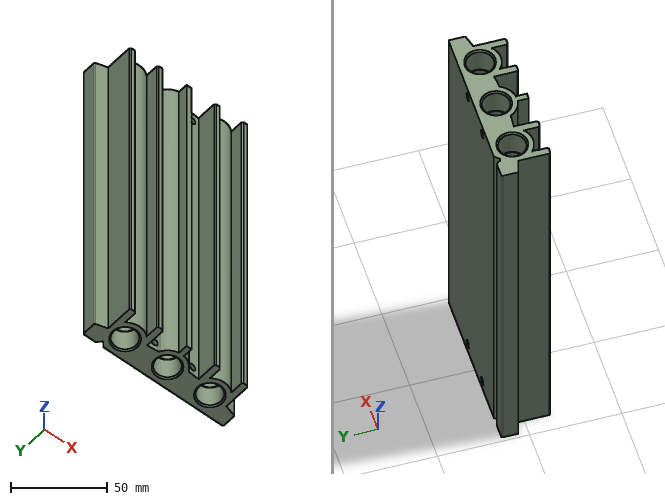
import cadquery as cq

length = 213.0
width = 95.6
depth = 29.0
back = depth / 2
half_width = width / 2
bottom = -length / 2

flange_edge_depth = 9.2
flange_root_depth = 11.3
corner_round = 0.6

bore_pitch = 29.0
bore_depth = 11.5
bore_diameter = 14.0
port_diameter = 15.0
port_length = 15.0
mouth_diameter = 16.6
mouth_chamfer = (mouth_diameter - port_diameter) / 2
wall_radius = 11.3

fin_width = 4.0
fin_offset = 9.4
fin_chamfer = 0.9
middle_fin_width = 3.5
middle_fin_depth = 28.8

web_fin_depth = 15.8
web_wall_depth = 16.5
web_wall_x = 10.0
web_fillet = 0.9

groove_x = -36.6
groove_width = 5.1
groove_floor_width = 0.9
groove_depth = 2.5

hole_diameter = 4.5
hole_x = 13.0
hole_end_distance = 6.0

bore_y = back - bore_depth
bore_positions = [(x, bore_y) for x in (-bore_pitch, 0, bore_pitch)]
fin_outer_x = bore_pitch + fin_offset + fin_width / 2
fin_inner_x = bore_pitch - fin_offset - fin_width / 2


def mirrored_profile(right_half):
    """Extrude an outline given by its right half, mirrored about the YZ plane."""
    left_half = [(-x, y) for x, y in reversed(right_half)]
    return cq.Workplane("XY").workplane(offset=bottom).polyline(right_half + left_half).close().extrude(length)


def make_plate():
    """Back plate with rounded flanges and sloped web floors."""
    plate = mirrored_profile([
        (web_wall_x, back - web_wall_depth),
        (fin_inner_x, back - web_fin_depth),
        (fin_outer_x, back - web_fin_depth),
        (fin_outer_x, back - flange_root_depth),
        (half_width, back - flange_edge_depth),
        (half_width, back),
    ])
    return plate.edges("|Z").edges("<X or >X").fillet(corner_round)


def make_fin(x, thickness, tip_depth):
    """Full-length fin from the bore axis plane out to the tip depth."""
    fin_height = tip_depth - bore_depth
    center = (x, bore_y - fin_height / 2, 0)
    return cq.Workplane("XY").box(thickness, fin_height, length).translate(center)


def make_bore(x, y):
    """Through bore with a wider port and a conical mouth at each end."""
    half_outline = [
        (0, 0),
        (bore_diameter / 2, 0),
        (bore_diameter / 2, length / 2 - port_length),
        (port_diameter / 2, length / 2 - port_length),
        (port_diameter / 2, length / 2 - mouth_chamfer),
        (mouth_diameter / 2, length / 2),
        (0, length / 2),
    ]
    half_bore = cq.Workplane("XZ").polyline(half_outline).close().revolve(360, (0, 0), (0, 1))
    return half_bore.union(half_bore.mirror("XY")).translate((x, y, 0))


def make_groove():
    """V groove running along the back face."""
    return (
        cq.Workplane("XY")
        .workplane(offset=bottom)
        .moveTo(groove_x - groove_width / 2, back)
        .lineTo(groove_x + groove_width / 2, back)
        .lineTo(groove_x + groove_floor_width / 2, back - groove_depth)
        .lineTo(groove_x - groove_floor_width / 2, back - groove_depth)
        .close()
        .extrude(length)
    )


body = make_plate()
for side in (-1, 1):
    for offset in (-fin_offset, fin_offset):
        fin = make_fin(side * bore_pitch + offset, fin_width, depth)
        body = body.union(fin.faces("<Y").edges("|Z").chamfer(fin_chamfer))

bore_walls = (
    cq.Workplane("XY").workplane(offset=bottom).pushPoints(bore_positions).circle(wall_radius).extrude(length)
)
body = body.union(bore_walls).clean()
for side in (-1, 1):
    web_corner = cq.NearestToPointSelector((side * web_wall_x, back - web_wall_depth, 0))
    body = body.edges("|Z").edges(web_corner).fillet(web_fillet)
body = body.union(make_fin(0, middle_fin_width, middle_fin_depth))

for x, y in bore_positions:
    body = body.cut(make_bore(x, y))
body = body.cut(make_groove())

hole_z = length / 2 - hole_end_distance
hole_positions = [(x, z) for x in (-hole_x, hole_x) for z in (-hole_z, hole_z)]
holes = cq.Workplane("XZ").pushPoints(hole_positions).circle(hole_diameter / 2).extrude(depth, both=True)
result = body.cut(holes).clean()